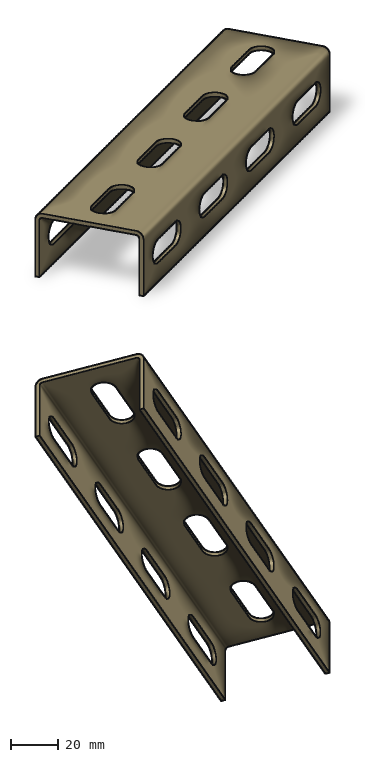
import cadquery as cq

length = 200.0
width = 50.0
height = 30.0
thickness = 2.0
inner_bend_radius = 1.5
outer_bend_radius = inner_bend_radius + thickness

slot_length = 30.0
slot_width = 11.0
slot_pitch = 50.0
slot_count = 4
flange_slot_height = (height - thickness / 2) / 2


def rounded_bar(bar_width, bar_height, radius):
    """Bar along Y standing on Z = 0, with its two upper long edges rounded."""
    bar = cq.Workplane("XY").box(bar_width, length, bar_height, centered=(True, True, False))
    return bar.edges("|Y and >Z").fillet(radius)


def slot_row(depth):
    """Row of slots along Y in the XY plane, reaching the given depth above and below it."""
    return (
        cq.Workplane("XY")
        .rarray(2, slot_pitch, 1, slot_count)
        .slot2D(slot_length, slot_width, 90)
        .extrude(depth, both=True)
    )


outer = rounded_bar(width, height, outer_bend_radius)
cavity = rounded_bar(width - 2 * thickness, height - thickness, inner_bend_radius)
channel = outer.cut(cavity)

web_slots = slot_row(height)
flange_slots = (
    slot_row(width)
    .rotate((0, 0, 0), (0, 1, 0), 90)
    .translate((0, 0, flange_slot_height))
)

result = channel.cut(web_slots).cut(flange_slots)